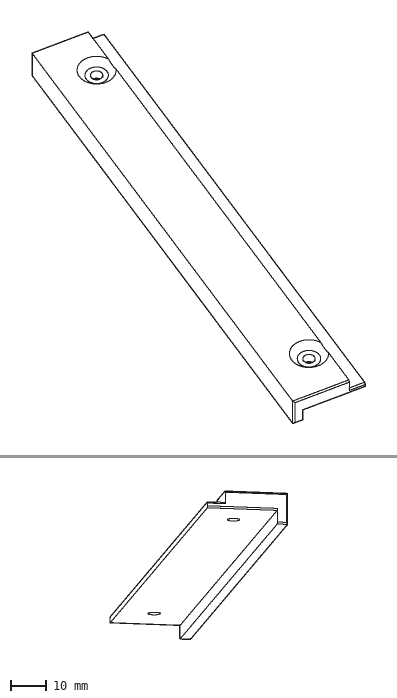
import cadquery as cq

length = 157.5
width = 23.0
height = 9.0

plate_thickness = 5.0
lip_thickness = 1.7
lip_width = 5.0
leg_thickness = 3.0
end_chamfer = 0.5

hole_end_distance = 15.0
hole_rear_distance = 10.1
hole_diameter = 3.5
sink_top_diameter = 11.0
sink_floor_diameter = 6.6
sink_depth = 2.0

plate_bottom = height - plate_thickness
lip_top = plate_bottom + lip_thickness
step_y = width - lip_width


def make_bar():
    """Extrude the section along X and chamfer the horizontal and front rims of both ends."""
    section = [
        (0, 0),
        (leg_thickness, 0),
        (leg_thickness, plate_bottom),
        (width, plate_bottom),
        (width, lip_top),
        (step_y, lip_top),
        (step_y, height),
        (0, height),
    ]
    bar = cq.Workplane("YZ").polyline(section).close().extrude(length)
    horizontal_rims = bar.faces("<X or >X").edges("|Y")
    front_rims = bar.faces("<Y").edges("|Z")
    return bar.newObject(horizontal_rims.vals() + front_rims.vals()).chamfer(end_chamfer)


def make_screw_cutter(x):
    """Through hole below a flat-bottomed conical recess, centred at x."""
    y = width - hole_rear_distance
    hole = cq.Workplane("XY").center(x, y).circle(hole_diameter / 2).extrude(height)
    recess = (
        cq.Workplane("XY", origin=(x, y, height - sink_depth))
        .circle(sink_floor_diameter / 2)
        .workplane(offset=sink_depth)
        .circle(sink_top_diameter / 2)
        .loft(ruled=True)
    )
    return hole.union(recess)


result = make_bar()
for hole_x in (hole_end_distance, length - hole_end_distance):
    result = result.cut(make_screw_cutter(hole_x))